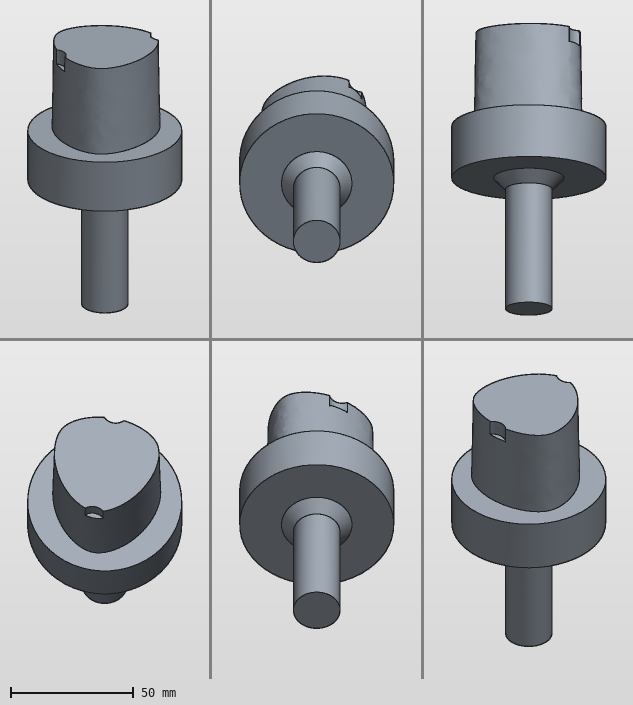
import cadquery as cq
import math

total_height = 115.5
shaft_diameter = 19.0

flange_diameter = 63.0
flange_thickness = 22.0
cone_height = 4.9

shank_height = 38.0
shank_base_width = 44.1
shank_top_width = 42.7
lobe_height = 1.5
outline_points = 48

notch_diameter = 11.0
notch_height = 6.4
notch_depth = 2.1

flange_top = total_height - shank_height
flange_bottom = flange_top - flange_thickness
shaft_top = flange_bottom - cone_height


def lobed_point(width, angle):
    """Point of a constant-width curve with one of its three lobes on +Y."""
    lobe_angle = 3 * (angle - math.pi / 2)
    reach = width / 2 + lobe_height * math.cos(lobe_angle)
    shift = -3 * lobe_height * math.sin(lobe_angle)
    x = reach * math.cos(angle) - shift * math.sin(angle)
    y = reach * math.sin(angle) + shift * math.cos(angle)
    return x, y


def lobed_outline(width):
    """Points around the lobed curve, starting in the middle of the front face."""
    step = 2 * math.pi / outline_points
    return [lobed_point(width, i * step - math.pi / 2) for i in range(outline_points)]


def make_turned_body():
    """Shaft, cone and flange as one revolved profile."""
    shaft_radius = shaft_diameter / 2
    return (
        cq.Workplane("XZ")
        .lineTo(shaft_radius, 0)
        .lineTo(shaft_radius, shaft_top)
        .lineTo(shaft_radius + cone_height, flange_bottom)
        .lineTo(flange_diameter / 2, flange_bottom)
        .lineTo(flange_diameter / 2, flange_top)
        .lineTo(0, flange_top)
        .close()
        .revolve(360, (0, 0, 0), (0, 1, 0))
    )


def make_shank():
    """Lobed taper lofted from the flange to the top face."""
    return (
        cq.Workplane("XY", origin=(0, 0, flange_top))
        .spline(lobed_outline(shank_base_width), periodic=True)
        .close()
        .workplane(offset=shank_height)
        .spline(lobed_outline(shank_top_width), periodic=True)
        .close()
        .loft(combine=True, ruled=True)
    )


def make_notch_cutters():
    """Upright cylinders reaching notch_depth into the front and back of the top face."""
    center_offset = shank_top_width / 2 - notch_depth + notch_diameter / 2
    centers = [(0, lobe_height + side * center_offset) for side in (-1, 1)]
    return (
        cq.Workplane("XY", origin=(0, 0, total_height - notch_height))
        .pushPoints(centers)
        .circle(notch_diameter / 2)
        .extrude(notch_height)
    )


result = make_turned_body().union(make_shank()).cut(make_notch_cutters())